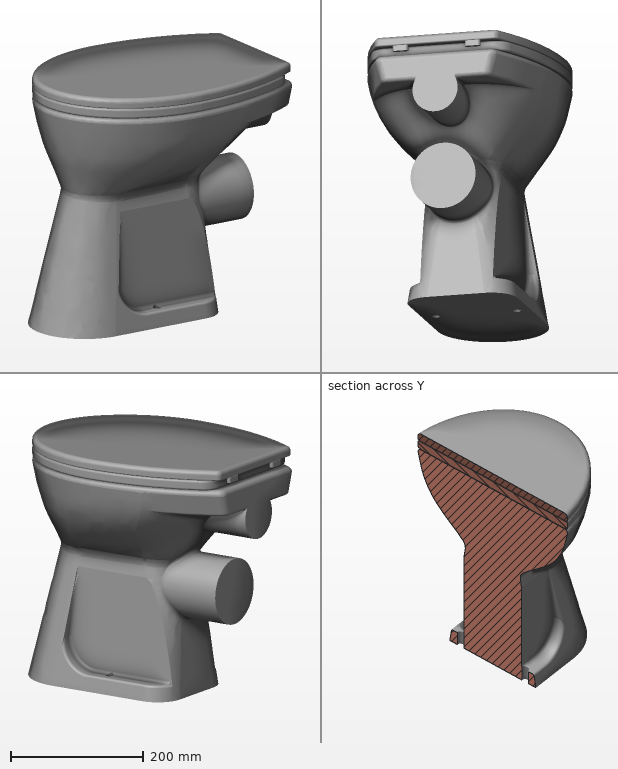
import cadquery as cq
import math

FLOOR_Z = 0.0
NECK_Z = 208.5
SHELF_BOTTOM_Z = 309.5
RIM_EDGE_Z = 342.2
BOWL_TOP_Z = 351.0
SEAT_TOP_Z = 367.0
LID_TOP_Z = 382.0

RIM_HALF_WIDTH = 149.0
RIM_FRONT_Y = -182.0
SIDE_RADIUS = 401.0
BOWL_REAR_Y = 207.0
BOWL_CORNER_RADIUS = 12.0
SEAT_REAR_Y = 191.5
SEAT_CORNER_RADIUS = 28.5
LID_REAR_Y = 201.5
LID_CORNER_RADIUS = 9.0

RIM_FILLET = 8.0
SEAT_TOP_FILLET = 4.0
SEAT_BOTTOM_FILLET = 3.2
LID_TOP_FILLET = 7.0
LID_BOTTOM_FILLET = 2.0
NECK_FILLET = 16.0
INLET_FILLET = 1.5
OUTLET_FILLET = 4.0
SHELF_FILLET = 5.5

SHELF_HALF_WIDTH = 139.0
SHELF_FRONT_Y = -121.5

FOOT_HALF_WIDTH = 85.5
FOOT_FRONT_Y = -198.0
FOOT_REAR_Y = 93.0
NECK_HALF_WIDTH = 53.5
NECK_FRONT_Y = -143.8
NECK_REAR_Y = 77.0
PEDESTAL_CORNER_RADIUS = 40.5

RECESS_X = 57.0
LEDGE_Z = 24.7
RECESS_FRONT_Y = -100.0
RECESS_BEND_Z = 75.5
RECESS_BEND_RADIUS = RECESS_BEND_Z - LEDGE_Z
RECESS_TOP_FRONT_Y = -85.0
RECESS_TOP_Z = 192.5
RECESS_ROOT_FILLET = 5.3
RECESS_RIM_FILLET = 4.0
ROOT_SETBACK = 2.0
FIXING_HOLE_DIAMETER = 12.0
FIXING_HOLE_X = 63.5
FIXING_HOLE_Y = -23.0

INLET_DIAMETER = 71.0
INLET_Z = 293.5
INLET_START_Y = 81.0
OUTLET_DIAMETER = 102.0
OUTLET_Z = 169.3
OUTLET_START_Y = 20.2
OUTLET_REAR_Y = 162.5

HINGE_X = 56.5
HINGE_WIDTH = 24.5
HINGE_THICKNESS = 7.3
HINGE_BOTTOM_Z = 358.5
HINGE_PIN_DIAMETER = 3.2
HINGE_PIN_Z = 362.0
HINGE_PIN_DEPTH = 4.0

TOOL_OVERRUN = 20.2
SELECT_MARGIN = 0.5
ON_PIPE_TOLERANCE = 0.05


def section(z, half_width, widest_y, front_y, side_end, rear_corner):
    """Closed outline at height z: an elliptical nose, two sides, two corners and a rear edge.

    side_end is the point where the +X side meets its rear corner, and rear_corner
    the point where that corner meets the straight rear edge.
    """
    side_x, side_y = side_end
    rear_x, rear_y = rear_corner
    nose = cq.Edge.makeEllipse(
        half_width, widest_y - front_y, cq.Vector(0, widest_y, z), angle1=180, angle2=360
    )
    edges = [nose, cq.Edge.makeLine(cq.Vector(rear_x, rear_y, z), cq.Vector(-rear_x, rear_y, z))]
    for hand in (1, -1):
        start = cq.Vector(hand * half_width, widest_y, z)
        end = cq.Vector(hand * side_x, side_y, z)
        rear = cq.Vector(hand * rear_x, rear_y, z)
        if side_x == half_width:
            side = cq.Edge.makeLine(start, end)
        else:
            side = cq.Edge.makeTangentArc(start, cq.Vector(0, 1, 0), end)
        corner = cq.Edge.makeTangentArc(rear, cq.Vector(hand, 0, 0), end)
        edges += [side, corner]
    return cq.Wire.combine(edges)[0]


def side_x_at(half_width, y):
    """Half-width at y of a side that bends inwards from its widest point at y = 0."""
    return half_width - SIDE_RADIUS + math.sqrt(SIDE_RADIUS**2 - y**2)


def oval(z, half_width, front_y, rear_y):
    """Closed outline at height z: an elliptical front, two bent sides and a straight rear."""
    rear_x = side_x_at(half_width, rear_y)
    nose = cq.Edge.makeEllipse(half_width, -front_y, cq.Vector(0, 0, z), angle1=180, angle2=360)
    edges = [nose, cq.Edge.makeLine(cq.Vector(rear_x, rear_y, z), cq.Vector(-rear_x, rear_y, z))]
    for hand in (1, -1):
        start = cq.Vector(hand * half_width, 0, z)
        end = cq.Vector(hand * rear_x, rear_y, z)
        edges.append(cq.Edge.makeTangentArc(start, cq.Vector(0, 1, 0), end))
    return cq.Wire.combine(edges)[0]


def oval_plate(bottom_z, top_z, rear_y, corner_radius):
    """Flat plate with the rim outline and rounded rear corners."""
    wire = oval(bottom_z, RIM_HALF_WIDTH, RIM_FRONT_Y, rear_y)
    plate = cq.Workplane(cq.Solid.extrudeLinear(wire, [], cq.Vector(0, 0, top_z - bottom_z)))
    return plate.edges("|Z and >Y").fillet(corner_radius)


def pipe(diameter, z, start_y, end_y):
    """Round pipe along Y."""
    return (
        cq.Workplane("XZ", origin=(0, start_y, z)).circle(diameter / 2).extrude(start_y - end_y)
    )


def round_pipe_joint(body, diameter, z, end_y, fillet):
    """Round the edges where a pipe leaves the body, short of the pipe's free end."""
    reach = diameter / 2 + SELECT_MARGIN
    joint_zone = cq.selectors.BoxSelector(
        (-reach, 0, z - reach), (reach, end_y - SELECT_MARGIN, z + reach)
    )
    joint = [
        edge
        for edge in body.edges(joint_zone).vals()
        if all(
            abs(math.hypot(point.x, point.z - z) - diameter / 2) < ON_PIPE_TOLERANCE
            for point in edge.positions([0.2, 0.5, 0.8])
        )
    ]
    return body.newObject(joint).fillet(fillet)


def pedestal_section(z, half_width, front_y, rear_y):
    """Outline of the pedestal: round nose, parallel sides and round rear corners."""
    return section(
        z,
        half_width,
        front_y + half_width,
        front_y,
        (half_width, rear_y - PEDESTAL_CORNER_RADIUS),
        (half_width - PEDESTAL_CORNER_RADIUS, rear_y),
    )


def pedestal_blank(inset=0.0):
    """Tapered pedestal without recesses, its wall moved inwards by the inset."""
    foot = pedestal_section(FLOOR_Z, FOOT_HALF_WIDTH - inset, FOOT_FRONT_Y + inset, FOOT_REAR_Y - inset)
    neck = pedestal_section(NECK_Z, NECK_HALF_WIDTH - inset, NECK_FRONT_Y + inset, NECK_REAR_Y - inset)
    return cq.Workplane(cq.Solid.makeLoft([foot, neck], True))


def recess_tool():
    """Sharp-edged tool for the flat-walled recess above the ledge on the +X side."""
    past_foot = FOOT_HALF_WIDTH + TOOL_OVERRUN
    behind = FOOT_REAR_Y + TOOL_OVERRUN
    bend_y = RECESS_FRONT_Y + RECESS_BEND_RADIUS
    bend_mid = RECESS_BEND_RADIUS * math.sqrt(0.5)
    return (
        cq.Workplane("YZ", origin=(RECESS_X, 0, 0))
        .moveTo(behind, LEDGE_Z)
        .lineTo(bend_y, LEDGE_Z)
        .threePointArc(
            (bend_y - bend_mid, RECESS_BEND_Z - bend_mid), (RECESS_FRONT_Y, RECESS_BEND_Z)
        )
        .lineTo(RECESS_TOP_FRONT_Y, RECESS_TOP_Z)
        .lineTo(behind, RECESS_TOP_Z)
        .close()
        .extrude(past_foot - RECESS_X)
    )


def make_pedestal():
    """Pedestal with a recess in each side: a rounded rim outside and a rounded root inside."""
    tool = recess_tool()
    rounded_tool = tool.faces("<X").edges("not(>Z or >Y)").fillet(RECESS_ROOT_FILLET)
    root = tool.cut(rounded_tool).intersect(pedestal_blank(ROOT_SETBACK))
    pedestal = pedestal_blank().cut(tool).cut(tool.mirror("YZ"))
    for hand in (1, -1):
        ledge_edge = cq.selectors.NearestToPointSelector((hand * FOOT_HALF_WIDTH, 0, LEDGE_Z))
        pedestal = pedestal.edges(ledge_edge).fillet(RECESS_RIM_FILLET)
    return pedestal.union(root).union(root.mirror("YZ"))


def make_basin():
    """Flaring basin between the neck and the rim."""
    neck = pedestal_section(NECK_Z, NECK_HALF_WIDTH, NECK_FRONT_Y, NECK_REAR_Y)
    top_side_y = 82.5
    top_side_x = side_x_at(RIM_HALF_WIDTH, top_side_y)
    sections = [
        neck,
        section(236.5, 85.5, -52.5, -152.3, (77.0, 39.0), (20.2, 96.0)),
        section(259.0, 110.0, -28.5, -160.8, (100.0, 52.0), (24.5, 113.5)),
        section(283.5, 128.8, -13.0, -168.5, (119.5, 67.0), (28.5, 135.0)),
        section(312.0, 141.5, -3.2, -175.8, (132.5, 82.5), (28.5, 162.0)),
        section(RIM_EDGE_Z, RIM_HALF_WIDTH, 0, RIM_FRONT_Y, (top_side_x, top_side_y), (20.2, 182.2)),
    ]
    return cq.Workplane(cq.Solid.makeLoft(sections))


def make_shelf():
    """Shelf that overhangs the basin at the rear and leans inwards towards its underside."""
    underside = oval(SHELF_BOTTOM_Z, SHELF_HALF_WIDTH, SHELF_FRONT_Y, BOWL_REAR_Y)
    edge = oval(RIM_EDGE_Z, RIM_HALF_WIDTH, SHELF_FRONT_Y, BOWL_REAR_Y)
    shelf = cq.Workplane(cq.Solid.makeLoft([underside, edge], True))
    shelf = shelf.edges("not #Z").edges(">Y").fillet(BOWL_CORNER_RADIUS)
    return shelf.faces("<Z").edges().fillet(SHELF_FILLET)


def make_rim():
    """Band around the top of the bowl."""
    rim = oval_plate(RIM_EDGE_Z, BOWL_TOP_Z, BOWL_REAR_Y, BOWL_CORNER_RADIUS)
    return rim.faces(">Z").edges().fillet(RIM_FILLET)


def make_bowl():
    """Pedestal, basin, shelf, rim and both pipes as one ceramic body with two fixing holes."""
    bowl = make_pedestal().union(make_basin())
    neck_zone = cq.selectors.BoxSelector(
        (-FOOT_HALF_WIDTH, FOOT_FRONT_Y, NECK_Z - SELECT_MARGIN),
        (FOOT_HALF_WIDTH, FOOT_REAR_Y, NECK_Z + SELECT_MARGIN),
        True,
    )
    bowl = bowl.edges(neck_zone).fillet(NECK_FILLET)
    bowl = bowl.union(make_shelf()).union(make_rim())
    bowl = bowl.union(pipe(INLET_DIAMETER, INLET_Z, INLET_START_Y, BOWL_REAR_Y))
    bowl = round_pipe_joint(bowl, INLET_DIAMETER, INLET_Z, BOWL_REAR_Y - SHELF_FILLET, INLET_FILLET)
    bowl = bowl.union(pipe(OUTLET_DIAMETER, OUTLET_Z, OUTLET_START_Y, OUTLET_REAR_Y))
    bowl = round_pipe_joint(bowl, OUTLET_DIAMETER, OUTLET_Z, OUTLET_REAR_Y, OUTLET_FILLET)
    holes = (
        cq.Workplane("XY")
        .pushPoints([(FIXING_HOLE_X, FIXING_HOLE_Y), (-FIXING_HOLE_X, FIXING_HOLE_Y)])
        .circle(FIXING_HOLE_DIAMETER / 2)
        .extrude(LEDGE_Z + RECESS_ROOT_FILLET)
    )
    return bowl.cut(holes)


def make_hinge(x):
    """Rounded tab under the rear of the lid, with a pin that enters the seat."""
    tab_y = LID_REAR_Y - HINGE_THICKNESS / 2
    tab = (
        cq.Workplane("XY", origin=(x, tab_y, HINGE_BOTTOM_Z))
        .slot2D(HINGE_WIDTH, HINGE_THICKNESS)
        .extrude(SEAT_TOP_Z - HINGE_BOTTOM_Z)
    )
    pin = pipe(HINGE_PIN_DIAMETER, HINGE_PIN_Z, SEAT_REAR_Y - HINGE_PIN_DEPTH, tab_y)
    return tab.union(pin.translate((x, 0, 0)))


def make_seat(hinges):
    """Seat with rounded edges and a matching hole for each hinge pin."""
    seat = oval_plate(BOWL_TOP_Z, SEAT_TOP_Z, SEAT_REAR_Y, SEAT_CORNER_RADIUS)
    seat = seat.faces(">Z").edges().fillet(SEAT_TOP_FILLET)
    seat = seat.faces("<Z").edges().fillet(SEAT_BOTTOM_FILLET)
    for hinge in hinges:
        seat = seat.cut(hinge)
    return seat


def make_lid():
    """Flat lid with rounded top and bottom edges."""
    lid = oval_plate(SEAT_TOP_Z, LID_TOP_Z, LID_REAR_Y, LID_CORNER_RADIUS)
    lid = lid.faces(">Z").edges().fillet(LID_TOP_FILLET)
    return lid.faces("<Z").edges().fillet(LID_BOTTOM_FILLET)


bowl = make_bowl()
hinges = [make_hinge(x) for x in (-HINGE_X, HINGE_X)]
seat = make_seat(hinges)
lid = make_lid()

result = cq.Compound.makeCompound(
    [bowl.val(), seat.val(), lid.val(), *[hinge.val() for hinge in hinges]]
)